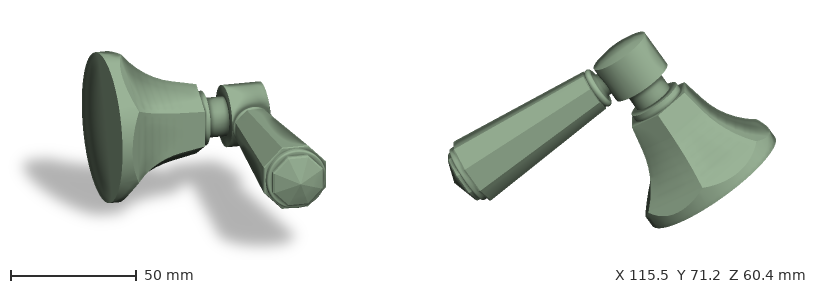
import cadquery as cq
import math


overall_length = 115.5

base_diameter = 60.4
base_radius = base_diameter / 2
base_height = 38.9
hex_top_flat = 12.7
taper_end_y = 28.9
taper_end_flat = 14.5
flare_end_y = 8.2
flare_end_flat = 25.9
hex_sides = 6

collar_radius = 11.0
collar_height = 2.9
groove_radius = 5.2
groove_width = 0.6
stem_radius = 8.0
hub_radius = 12.5
hub_bottom_y = 50.3
hub_top_y = 66.2
dome_height = 2.2

lever_y = 58.3
neck_radius = 4.8
neck_end_x = 13.3
bead_start_x = 14.5
bead_start_radius = 6.6
bead_radius = 8.5
bead_end_x = 17.0
bead_end_radius = 7.9

grip_start_x = 17.3
grip_start_flat = 8.1
grip_end_x = 77.0
grip_end_flat = 12.9
grip_bevel = 0.6
grip_bevel_drop = 0.2
octagon_sides = 8

band_end_x = 79.5
band_radius = 12.2
band_fillet = 0.7
finial_flat = 10.3
finial_shoulder_x = 81.6
finial_bevel = 0.6
tip_flat = 0.06
tip_x = overall_length - base_radius


def flared_base():
    """Hexagonal flare made from three crossed extrusions, trimmed to a round rim."""
    taper_angle = math.atan2(taper_end_flat - hex_top_flat, base_height - taper_end_y)
    chord_angle = math.atan2(flare_end_flat - taper_end_flat, taper_end_y - flare_end_y)
    end_angle = 2 * chord_angle - taper_angle
    foot_flat = flare_end_flat + flare_end_y * math.tan(end_angle)
    half = (
        cq.Workplane("XY")
        .moveTo(0, base_height)
        .lineTo(hex_top_flat, base_height)
        .lineTo(taper_end_flat, taper_end_y)
        .tangentArcPoint((flare_end_flat, flare_end_y), relative=False)
        .lineTo(foot_flat, 0)
        .lineTo(0, 0)
        .close()
        .extrude(2 * base_radius, both=True)
    )
    slab = half.union(half.mirror("YZ"))
    base = cq.Workplane("XZ").circle(base_radius).extrude(-base_height)
    for i in range(hex_sides // 2):
        base = base.intersect(slab.rotate((0, 0, 0), (0, 1, 0), i * 360 / hex_sides))
    return base


def spindle():
    """Collar, groove, stem and domed hub turned about the Y axis."""
    collar_top_y = base_height + collar_height
    stem_bottom_y = collar_top_y + groove_width
    sphere_radius = (hub_radius**2 + dome_height**2) / (2 * dome_height)
    dome_mid_x = hub_radius / 2
    dome_mid_y = hub_top_y + dome_height - sphere_radius + math.sqrt(sphere_radius**2 - dome_mid_x**2)
    return (
        cq.Workplane("XY")
        .moveTo(0, base_height)
        .lineTo(collar_radius, base_height)
        .lineTo(collar_radius, collar_top_y)
        .lineTo(groove_radius, collar_top_y)
        .lineTo(groove_radius, stem_bottom_y)
        .lineTo(stem_radius, stem_bottom_y)
        .lineTo(stem_radius, hub_bottom_y)
        .lineTo(hub_radius, hub_bottom_y)
        .lineTo(hub_radius, hub_top_y)
        .threePointArc((dome_mid_x, dome_mid_y), (0, hub_top_y + dome_height))
        .close()
        .revolve(360, (0, 0, 0), (0, 1, 0))
    )


def lever_neck():
    """Round neck flaring into a rounded bead, turned about the lever axis."""
    return (
        cq.Workplane("XY", origin=(0, lever_y, 0))
        .lineTo(0, neck_radius)
        .lineTo(neck_end_x, neck_radius)
        .tangentArcPoint((bead_start_x, bead_start_radius), relative=False)
        .threePointArc(
            ((bead_start_x + bead_end_x) / 2, bead_radius),
            (bead_end_x, bead_end_radius),
        )
        .lineTo(grip_start_x, bead_end_radius)
        .lineTo(grip_start_x, 0)
        .close()
        .revolve(360, (0, 0, 0), (1, 0, 0))
    )


def octagon_frustum(start_x, start_flat, end_x, end_flat):
    """Octagonal frustum along the lever axis with flats facing Y and Z."""
    corner_scale = 1 / math.cos(math.pi / octagon_sides)
    turn = 180 / octagon_sides
    start = cq.Sketch().regularPolygon(start_flat * corner_scale, octagon_sides, turn)
    end = cq.Sketch().regularPolygon(end_flat * corner_scale, octagon_sides, turn)
    return (
        cq.Workplane("YZ", origin=(start_x, lever_y, 0))
        .placeSketch(start, end.moved(cq.Location(cq.Vector(0, 0, end_x - start_x))))
        .loft(ruled=True)
    )


def lever_grip():
    """Widening octagonal grip with a small bevel at its wide end."""
    bevel_start_x = grip_end_x - grip_bevel
    taper = octagon_frustum(grip_start_x, grip_start_flat, bevel_start_x, grip_end_flat)
    bevel = octagon_frustum(bevel_start_x, grip_end_flat, grip_end_x, grip_end_flat - grip_bevel_drop)
    return taper.union(bevel)


def lever_band():
    """Round band with a rounded outer rim."""
    return (
        cq.Workplane("YZ", origin=(grip_end_x, lever_y, 0))
        .circle(band_radius)
        .extrude(band_end_x - grip_end_x)
        .faces(">X")
        .edges()
        .fillet(band_fillet)
    )


def lever_finial():
    """Octagonal block with a bevelled shoulder and a pyramid point."""
    bevel_start_x = finial_shoulder_x - finial_bevel
    point_flat = finial_flat - finial_bevel
    block = octagon_frustum(band_end_x, finial_flat, bevel_start_x, finial_flat)
    bevel = octagon_frustum(bevel_start_x, finial_flat, finial_shoulder_x, point_flat)
    point = octagon_frustum(finial_shoulder_x, point_flat, tip_x, tip_flat)
    return block.union(bevel).union(point)


result = flared_base()
for piece in (spindle(), lever_neck(), lever_grip(), lever_band(), lever_finial()):
    result = result.union(piece)